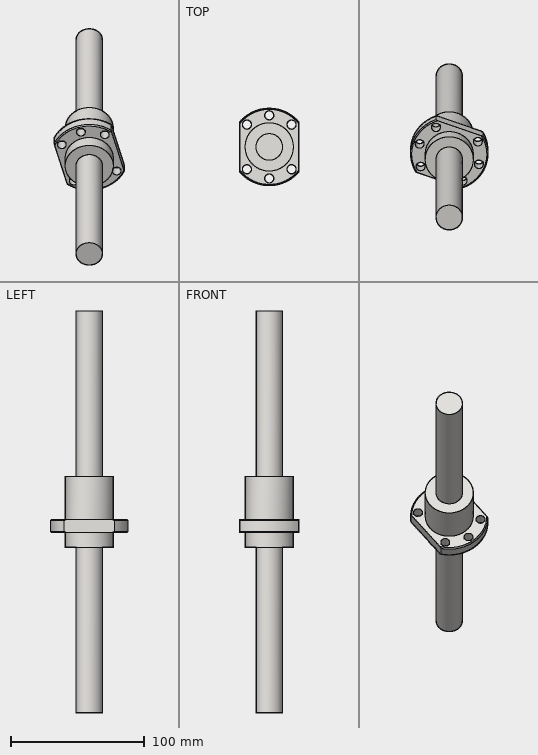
import cadquery as cq
import math

shaft_length = 300.0
shaft_diameter = 19.8

nut_length = 53.0
nut_diameter = 36.0
nut_bottom = -nut_length / 2

flange_diameter = 58.0
flange_width = 44.0
flange_thickness = 10.0
flange_chamfer = 1.0
lower_sleeve_length = 11.0
flange_bottom = nut_bottom + lower_sleeve_length

bolt_circle_diameter = 47.0
hole_diameter = 6.5
hole_angles = [45, 90, 135, 225, 270, 315]


def cylinder(diameter, height, bottom):
    return cq.Workplane("XY").workplane(offset=bottom).circle(diameter / 2).extrude(height)


def make_shaft():
    return cylinder(shaft_diameter, shaft_length, -shaft_length / 2)


def make_flange():
    disc = cylinder(flange_diameter, flange_thickness, flange_bottom)
    disc = disc.faces("<Z or >Z").edges().chamfer(flange_chamfer)
    trim = (
        cq.Workplane("XY")
        .workplane(offset=flange_bottom)
        .rect(flange_width, flange_diameter)
        .extrude(flange_thickness)
    )
    return disc.intersect(trim)


def make_mounting_holes():
    radius = bolt_circle_diameter / 2
    centres = [
        (radius * math.cos(math.radians(angle)), radius * math.sin(math.radians(angle)))
        for angle in hole_angles
    ]
    return (
        cq.Workplane("XY")
        .workplane(offset=flange_bottom)
        .pushPoints(centres)
        .circle(hole_diameter / 2)
        .extrude(flange_thickness)
    )


def make_nut():
    sleeve = cylinder(nut_diameter, nut_length, nut_bottom)
    bore = cylinder(shaft_diameter, nut_length, nut_bottom)
    return sleeve.union(make_flange()).cut(make_mounting_holes()).cut(bore)


shaft = make_shaft()
nut = make_nut()

result = cq.Compound.makeCompound([shaft.val(), *nut.vals()])